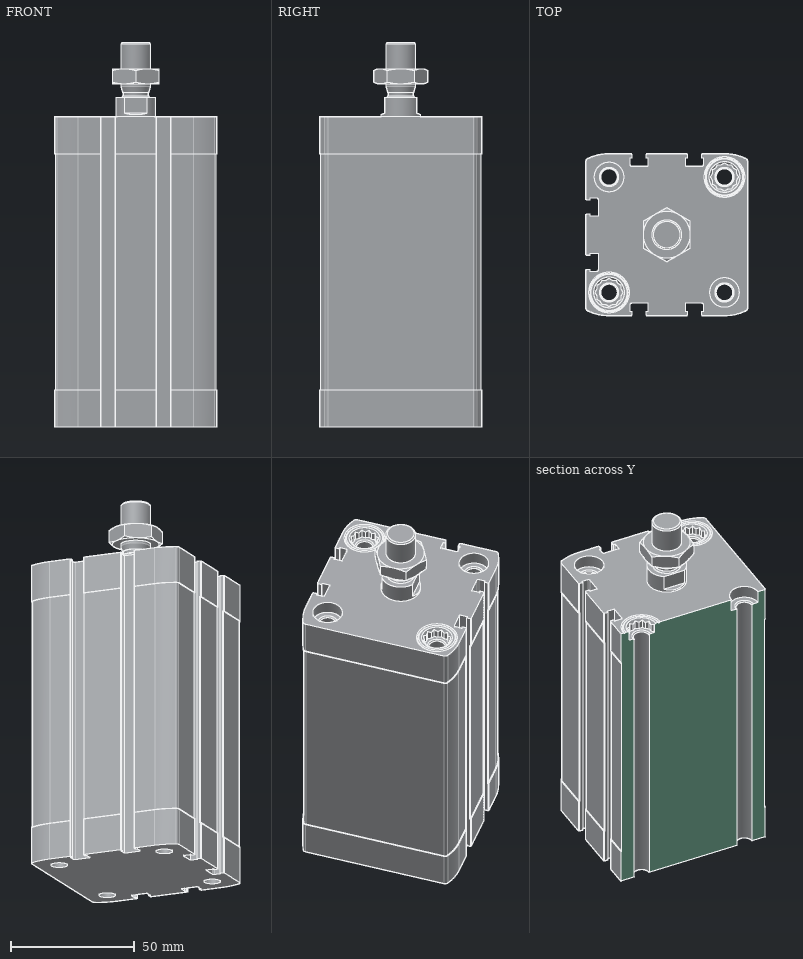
import cadquery as cq
import math

HOUSING_SIDE = 65.5
HOUSING_HEIGHT = 125.2
CAP_LENGTH = 15.0
BARREL_INSET = 0.3
CORNER_ARC_RADIUS = 20.0
CORNER_ARC_START = 23.3
CORNER_FILLET = 1.5

SLOT_OPENING = 5.6
SLOT_LIP = 1.9
SLOT_WIDTH = 7.1
SLOT_CENTRE = 11.2
SLOT_DEPTH = 5.1
SLOT_MOUTH_CHAMFER = 0.3
SLOT_FILLET = 0.6

HOLE_OFFSET = 23.3
THROUGH_HOLE = 6.7
HOLE_CHAMFER_DIAMETER = 7.8
COUNTERBORE = 12.0
COUNTERBORE_DEPTH = 5.5

GROOVE_OUTER = 16.5
GROOVE_BOTTOM = 15.5
GROOVE_DEPTH = (GROOVE_OUTER - GROOVE_BOTTOM) / 2
GROOVE_INNER = 2 * GROOVE_BOTTOM - GROOVE_OUTER
SOCKET_MOUTH = 12.4
SOCKET_CORNERS = 11.3
SOCKET_CHAMFER_DEPTH = 1.4
SOCKET_DEPTH = 4.5

TOTAL_HEIGHT = 155.2
ROD_DIAMETER = 16.0
ROD_SHOULDER_Z = 133.0
NECK_CHAMFER = 0.6
ROD_SOCKET_DEPTH = CAP_LENGTH
FLATS_WIDTH = 13.0
FLATS_BOTTOM_Z = 126.6
FLATS_RUNOUT = 0.6
NECK_DIAMETER = 10.2
NECK_TOP_Z = 135.0
TAPER_BOTTOM_DIAMETER = 10.7
THREAD_BOTTOM_Z = 137.4
THREAD_DIAMETER = 12.0
THREAD_CHAMFER = 0.6

HEXAGON_HALF_STEP = 30

NUT_WIDTH = 19.0
NUT_BOTTOM_Z = 138.5
NUT_HEIGHT = 6.0
NUT_CHAMFER_ANGLE = 25.0


def disc(diameter, bottom, top):
    return cq.Workplane("XY").workplane(offset=bottom).circle(diameter / 2).extrude(top - bottom)


def cone(bottom_diameter, top_diameter, bottom, top):
    return cq.Workplane(cq.Solid.makeCone(
        bottom_diameter / 2, top_diameter / 2, top - bottom, pnt=cq.Vector(0, 0, bottom)))


def block(inset, bottom, top):
    """Square prism whose four corners are swept back by large arcs along the +Y and -Y sides."""
    half = HOUSING_SIDE / 2 - inset
    radius = CORNER_ARC_RADIUS - inset
    start = CORNER_ARC_START
    arc_centre_y = half - radius

    def arc_height(x):
        return arc_centre_y + math.sqrt(radius ** 2 - (x - start) ** 2)

    end_y = arc_height(half)
    mid_x = (start + half) / 2
    mid_y = arc_height(mid_x)
    return (
        cq.Workplane("XY").workplane(offset=bottom)
        .moveTo(-start, -half)
        .lineTo(start, -half)
        .threePointArc((mid_x, -mid_y), (half, -end_y))
        .lineTo(half, end_y)
        .threePointArc((mid_x, mid_y), (start, half))
        .lineTo(-start, half)
        .threePointArc((-mid_x, mid_y), (-half, end_y))
        .lineTo(-half, -end_y)
        .threePointArc((-mid_x, -mid_y), (-start, -half))
        .close()
        .extrude(top - bottom)
        .edges("|Z and (<X or >X)").fillet(CORNER_FILLET - inset)
    )


def slot_pair(inset, bottom, top):
    """Cutter for the two T-slots in the -Y side; only the chamfered mouths follow the inset face."""
    length = top - bottom
    outer_face = -HOUSING_SIDE / 2
    face = outer_face + inset
    lip_back = outer_face + SLOT_LIP
    floor = outer_face + SLOT_DEPTH
    half_opening = SLOT_OPENING / 2
    half_mouth = half_opening + SLOT_MOUTH_CHAMFER
    cutter = cq.Workplane("XY")
    for side in (-1, 1):
        base = cq.Workplane("XY").workplane(offset=bottom).center(side * SLOT_CENTRE, 0)
        opening = base.polyline([
            (-half_mouth, face),
            (half_mouth, face),
            (half_opening, face + SLOT_MOUTH_CHAMFER),
            (half_opening, lip_back),
            (-half_opening, lip_back),
            (-half_opening, face + SLOT_MOUTH_CHAMFER),
        ]).close().extrude(length)
        channel = (
            base.center(0, (lip_back + floor) / 2)
            .rect(SLOT_WIDTH, floor - lip_back).extrude(length)
            .edges("|Z and >Y").edges(">X" if side > 0 else "<X").fillet(SLOT_FILLET)
        )
        cutter = cutter.add(opening.union(channel))
    return cutter.combine()


def section(inset, bottom, top):
    """Length of the housing with T-slots in its -Y, -X and +Y sides."""
    body = block(inset, bottom, top)
    for turn in (0, -90, 180):
        body = body.cut(slot_pair(inset, bottom, top).rotate((0, 0, 0), (0, 0, 1), turn))
    return body


def corner_hole(seat_z):
    """Through hole with a chamfered mouth at the seat."""
    chamfer_depth = (HOLE_CHAMFER_DIAMETER - THROUGH_HOLE) / 2
    hole = disc(THROUGH_HOLE, 0, seat_z)
    mouth = cone(THROUGH_HOLE, HOLE_CHAMFER_DIAMETER, seat_z - chamfer_depth, seat_z)
    return hole.union(mouth)


def counterbored_hole():
    seat_z = HOUSING_HEIGHT - COUNTERBORE_DEPTH
    return corner_hole(seat_z).union(disc(COUNTERBORE, seat_z, HOUSING_HEIGHT))


def socket_hole():
    """Twelve-point socket with a through hole below it, and the V-groove that rings it."""
    seat_z = HOUSING_HEIGHT - SOCKET_DEPTH
    groove_z = HOUSING_HEIGHT - GROOVE_DEPTH
    notch_diameter = SOCKET_CORNERS * math.cos(math.pi / 6) / math.cos(math.pi / 12)
    cutter = corner_hole(seat_z)
    for turn in (0, HEXAGON_HALF_STEP):
        hexagon = (
            cq.Workplane("XY").workplane(offset=seat_z)
            .polygon(6, SOCKET_CORNERS).extrude(SOCKET_DEPTH)
            .rotate((0, 0, 0), (0, 0, 1), turn)
        )
        cutter = cutter.union(hexagon)
    mouth = cone(notch_diameter, SOCKET_MOUTH, HOUSING_HEIGHT - SOCKET_CHAMFER_DEPTH, HOUSING_HEIGHT)
    groove = cone(GROOVE_BOTTOM, GROOVE_OUTER, groove_z, HOUSING_HEIGHT).cut(
        cone(GROOVE_BOTTOM, GROOVE_INNER, groove_z, HOUSING_HEIGHT))
    return cutter.union(mouth), groove


def make_housing():
    barrel_top = HOUSING_HEIGHT - CAP_LENGTH
    housing = (
        section(0, 0, CAP_LENGTH)
        .union(section(BARREL_INSET, CAP_LENGTH, barrel_top))
        .union(section(0, barrel_top, HOUSING_HEIGHT))
    )
    for side_x in (-1, 1):
        for side_y in (-1, 1):
            cutters = socket_hole() if side_x == side_y else [counterbored_hole()]
            for cutter in cutters:
                housing = housing.cut(cutter.translate((side_x * HOLE_OFFSET, side_y * HOLE_OFFSET, 0)))
    return housing.cut(disc(ROD_DIAMETER, HOUSING_HEIGHT - ROD_SOCKET_DEPTH, HOUSING_HEIGHT))


def make_rod():
    rod_radius = ROD_DIAMETER / 2
    thread_radius = THREAD_DIAMETER / 2
    neck_radius = NECK_DIAMETER / 2
    rod = (
        cq.Workplane("XZ")
        .moveTo(0, HOUSING_HEIGHT - ROD_SOCKET_DEPTH)
        .lineTo(rod_radius, HOUSING_HEIGHT - ROD_SOCKET_DEPTH)
        .lineTo(rod_radius, ROD_SHOULDER_Z)
        .lineTo(neck_radius + NECK_CHAMFER, ROD_SHOULDER_Z)
        .lineTo(neck_radius, ROD_SHOULDER_Z + NECK_CHAMFER)
        .lineTo(neck_radius, NECK_TOP_Z)
        .lineTo(TAPER_BOTTOM_DIAMETER / 2, NECK_TOP_Z)
        .lineTo(thread_radius, THREAD_BOTTOM_Z)
        .lineTo(thread_radius, TOTAL_HEIGHT - THREAD_CHAMFER)
        .lineTo(thread_radius - THREAD_CHAMFER, TOTAL_HEIGHT)
        .lineTo(0, TOTAL_HEIGHT)
        .close()
        .revolve(360, (0, 0, 0), (0, 1, 0))
    )
    flat = FLATS_WIDTH / 2
    for side in (-1, 1):
        flat_cutter = (
            cq.Workplane("YZ").workplane(offset=-rod_radius)
            .moveTo(side * flat, FLATS_BOTTOM_Z)
            .lineTo(side * rod_radius, FLATS_BOTTOM_Z - FLATS_RUNOUT)
            .lineTo(side * rod_radius, ROD_SHOULDER_Z)
            .lineTo(side * flat, ROD_SHOULDER_Z)
            .close()
            .extrude(ROD_DIAMETER)
        )
        rod = rod.cut(flat_cutter)
    return rod


def make_nut():
    corner_diameter = NUT_WIDTH / math.cos(math.pi / 6)
    slope = math.tan(math.radians(NUT_CHAMFER_ANGLE))
    chamfer_height = (corner_diameter - NUT_WIDTH) / 2 * slope
    top = NUT_BOTTOM_Z + NUT_HEIGHT
    hexagon = (
        cq.Workplane("XY").workplane(offset=NUT_BOTTOM_Z)
        .polygon(6, corner_diameter).extrude(NUT_HEIGHT)
        .rotate((0, 0, 0), (0, 0, 1), HEXAGON_HALF_STEP)
    )
    envelope = (
        cone(NUT_WIDTH, corner_diameter, NUT_BOTTOM_Z, NUT_BOTTOM_Z + chamfer_height)
        .union(disc(corner_diameter, NUT_BOTTOM_Z + chamfer_height, top - chamfer_height))
        .union(cone(corner_diameter, NUT_WIDTH, top - chamfer_height, top))
    )
    return hexagon.intersect(envelope).cut(disc(THREAD_DIAMETER, NUT_BOTTOM_Z, top))


housing = make_housing()
rod = make_rod()
nut = make_nut()

result = cq.Compound.makeCompound([housing.val(), rod.val(), nut.val()])